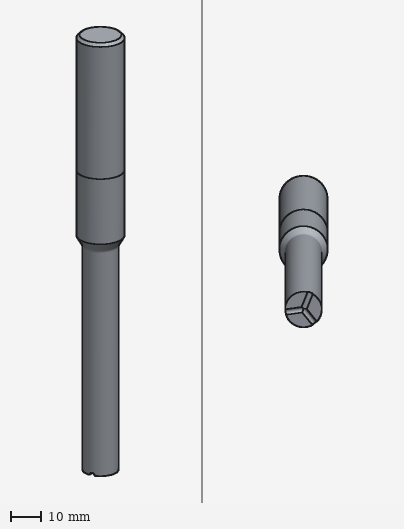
import cadquery as cq
import math

total_length = 154.3
shank_diameter = 15.9
stem_diameter = 12.0
joint_height = 106.3
shank_chamfer = 1.1
taper_top = 83.2
taper_angle = 30.0
neck_fillet_radius = 2.0

groove_count = 3
first_groove_angle = -90.0
groove_radius = 1.0

shank_radius = shank_diameter / 2
stem_radius = stem_diameter / 2


def make_shank():
    """Plain cylinder with a chamfered top rim."""
    return (
        cq.Workplane("XY", origin=(0, 0, joint_height))
        .circle(shank_radius)
        .extrude(total_length - joint_height)
        .faces(">Z")
        .chamfer(shank_chamfer)
    )


def make_tool_blank():
    """Turned tool: thick head, cone, tangent neck fillet and thin stem."""
    angle = math.radians(taper_angle)
    cone_end_radius = stem_radius + neck_fillet_radius * (1 - math.cos(angle))
    cone_end_height = taper_top - (shank_radius - cone_end_radius) / math.tan(angle)
    stem_top = cone_end_height - neck_fillet_radius * math.sin(angle)
    half_angle = angle / 2
    arc_middle = (
        stem_radius + neck_fillet_radius * (1 - math.cos(half_angle)),
        stem_top + neck_fillet_radius * math.sin(half_angle),
    )
    return (
        cq.Workplane("XZ")
        .lineTo(stem_radius, 0)
        .lineTo(stem_radius, stem_top)
        .threePointArc(arc_middle, (cone_end_radius, cone_end_height))
        .lineTo(shank_radius, taper_top)
        .lineTo(shank_radius, joint_height)
        .lineTo(0, joint_height)
        .close()
        .revolve(360, (0, 0, 0), (0, 1, 0))
    )


def make_groove(angle):
    """Cutter for one groove from the axis outward, open at the rim and to the bottom."""
    return (
        cq.Workplane("YZ")
        .circle(groove_radius)
        .extrude(stem_radius)
        .rotate((0, 0, 0), (0, 0, 1), angle)
    )


def make_tool():
    tool = make_tool_blank()
    for index in range(groove_count):
        tool = tool.cut(make_groove(first_groove_angle + index * 360 / groove_count))
    return tool


shank = make_shank()
tool = make_tool()

result = cq.Compound.makeCompound([shank.val(), tool.val()])